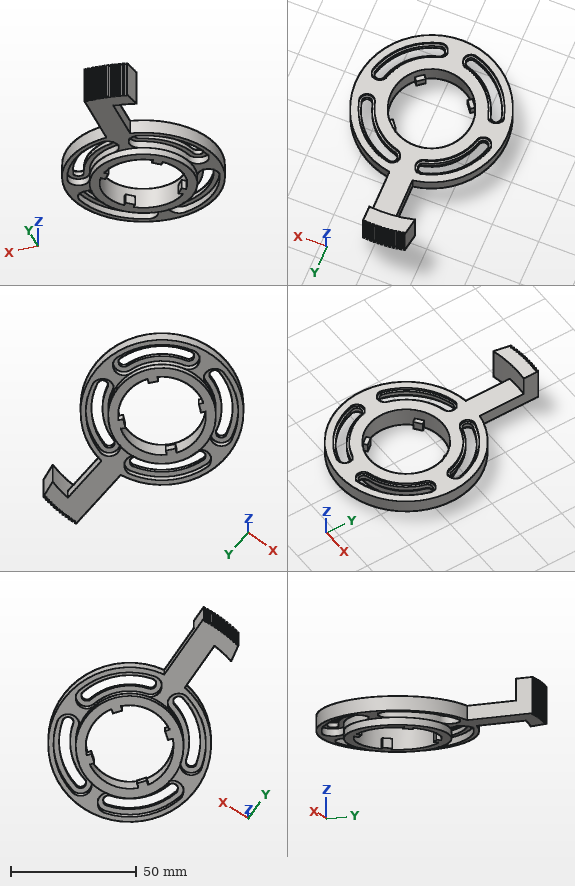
import cadquery as cq
import math

plate_diameter = 65.0
plate_radius = plate_diameter / 2
plate_thickness = 5.95
lip_radius = 21.5
lip_height = 3.1
bore_radius = 17.5

quarter_count = 4
quarter_turn = 360 / quarter_count
slot_path_radius = 25.95
slot_width = 4.4
slot_recess_width = 6.4
slot_recess_depth = 1.0
slot_channel_width = 8.8
slot_channel_depth = 3.0
slot_half_span = 30
first_slot_angle = 45

key_width = 4.0
key_height = 4.0
key_inner_distance = 15.4
first_key_angle = 38

total_length = 93
arm_width = 9.95
head_height = 15.0
head_inner_radius = 53.5
tip_radius = total_length - plate_radius
tooth_height = 0.65
tooth_width = 0.7
tooth_pitch_angle = 1.5
tooth_count = 12
head_left_outer_x = -12.7
head_left_inner_x = -14.1


def polar(radius, angle):
    """Point at a radius and an angle in degrees from +X."""
    return (radius * math.cos(math.radians(angle)), radius * math.sin(math.radians(angle)))


def on_circle(radius, x):
    """Upper point of a centred circle at a given x."""
    return (x, math.sqrt(radius**2 - x**2))


def disc(radius, bottom, height):
    return cq.Workplane("XY").workplane(offset=bottom).circle(radius).extrude(height)


def arc_slot(width, bottom, height, middle_angle):
    """Round-ended slot following the slot path circle."""
    start = middle_angle - slot_half_span
    end = middle_angle + slot_half_span
    inner = slot_path_radius - width / 2
    outer = slot_path_radius + width / 2
    tip_distance = math.hypot(slot_path_radius, width / 2)
    overhang = math.degrees(math.atan2(width / 2, slot_path_radius))
    return (
        cq.Workplane("XY")
        .workplane(offset=bottom)
        .moveTo(*polar(outer, start))
        .threePointArc(polar(outer, middle_angle), polar(outer, end))
        .threePointArc(polar(tip_distance, end + overhang), polar(inner, end))
        .threePointArc(polar(inner, middle_angle), polar(inner, start))
        .threePointArc(polar(tip_distance, start - overhang), polar(outer, start))
        .close()
        .extrude(height)
    )


def key(angle):
    """Block reaching from inside the lip wall into the bore."""
    length = (bore_radius + lip_radius) / 2 - key_inner_distance
    return (
        cq.Workplane("XY")
        .box(length, key_width, key_height, centered=(False, True, False))
        .translate((key_inner_distance, 0, -lip_height))
        .rotate((0, 0, 0), (0, 0, 1), angle)
    )


def arm():
    """Straight bar from inside the plate rim into the head."""
    start = (bore_radius + plate_radius) / 2
    end = (head_inner_radius + tip_radius) / 2
    return (
        cq.Workplane("XY")
        .box(arm_width, end - start, plate_thickness, centered=(True, False, False))
        .translate((0, start, 0))
    )


def head():
    """Curved block concentric with the ring, flush with the arm on its +X side."""
    right_x = arm_width / 2
    middle_x = (head_left_outer_x + right_x) / 2
    return (
        cq.Workplane("XY")
        .moveTo(*on_circle(head_inner_radius, right_x))
        .lineTo(*on_circle(tip_radius, right_x))
        .threePointArc(on_circle(tip_radius, middle_x), on_circle(tip_radius, head_left_outer_x))
        .lineTo(*on_circle(head_inner_radius, head_left_inner_x))
        .threePointArc(on_circle(head_inner_radius, middle_x), on_circle(head_inner_radius, right_x))
        .close()
        .extrude(head_height)
    )


def tooth_gap(index):
    """Groove through the head's outer face, counted from its +X side."""
    first_tooth_turn = math.degrees(math.asin((arm_width - tooth_width) / 2 / tip_radius))
    turn = (index + 0.5) * tooth_pitch_angle - first_tooth_turn
    gap_width = tip_radius * math.radians(tooth_pitch_angle) - tooth_width
    return (
        cq.Workplane("XY")
        .box(gap_width, 2 * tooth_height, head_height, centered=(True, True, False))
        .translate((0, tip_radius, 0))
        .rotate((0, 0, 0), (0, 0, 1), turn)
    )


result = disc(plate_radius, 0, plate_thickness).union(disc(lip_radius, -lip_height, lip_height))
result = result.union(arm()).union(head())
result = result.cut(disc(bore_radius, -lip_height, lip_height + plate_thickness))

for gap in range(tooth_count - 1):
    result = result.cut(tooth_gap(gap))

recess_floor = plate_thickness - slot_recess_depth
for quarter in range(quarter_count):
    slot_angle = first_slot_angle + quarter * quarter_turn
    result = result.cut(arc_slot(slot_width, 0, plate_thickness, slot_angle))
    result = result.cut(arc_slot(slot_recess_width, recess_floor, slot_recess_depth, slot_angle))
    result = result.cut(arc_slot(slot_channel_width, 0, slot_channel_depth, slot_angle))
    result = result.union(key(first_key_angle + quarter * quarter_turn))